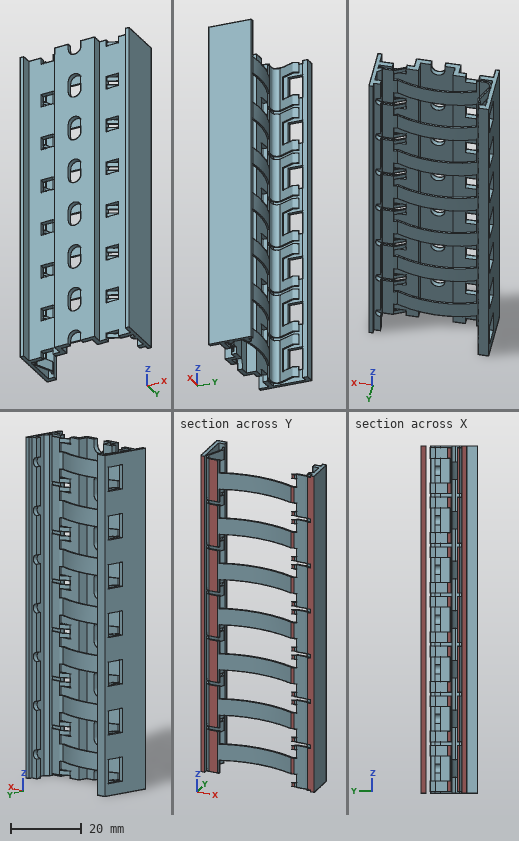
import cadquery as cq

LENGTH = 98.0
WIDTH = 35.0
HALF_WIDTH = WIDTH / 2
WALL = 1.2
PLATE = 1.5

TALL_WALL = 16.0
LOW_WALL = 13.2
LIP_REACH = 3.0
LEDGE_TOP = 12.0
WEB_BOTTOM = 3.0
WEB_TOP = WEB_BOTTOM + PLATE
CHANNEL_WIDTH = 12.8

RIB_REACH = 1.2
RIB_TOP = 7.3
RIB_SHOULDER = 6.3
RIB_BARB = 5.1
RIB_ROOT = 5.8

COUNT = 7
PITCH = LENGTH / COUNT
SLOT_LENGTH = 7.5
SLOT_WIDTH = 4.0
HOLE_WIDTH = 3.9
HOLE_LENGTH = 4.0
HOLE_OFFSET = 10.5
WINDOW_LENGTH = 7.0
WINDOW_HEIGHT = 5.4
NOTCH_DIAMETER = 2.6

STRIP = 0.5
CLIP_GAP = 1.0
CLIP_LENGTH = PITCH - CLIP_GAP
CLIP_FLOOR = WEB_TOP + STRIP / 2
INNER_WALL = WALL - HALF_WIDTH
BEND_RADIUS = 1.8
ARM_FOOT_HEIGHT = 6.9
ARM_KNEE = (-13.8, 11.9)
ARM_TIP = (-14.3, 13.1)
ARCH_START = -12.6
ARCH_PEAK = (-0.9, 7.0)
ARCH_END = 10.9
PAD_LEVEL = 5.1
PAD_CREASE = 14.7
CLIP_END = HALF_WIDTH - WALL - STRIP / 2
ARCH_WIDTH = 5.0
LEFT_PAD_END = -11.9
RIGHT_PAD_END = 12.0
ARM_NOTCH_BOTTOM = 7.8
TAB_DROP = 1.6
TAB_RUN = 3.2
TAB_WIDTH = 1.3


def box(x_min, x_max, y_min, y_max, z_centre, z_length):
    """Block spanning the given X and Y ranges, centred along Z."""
    block = cq.Workplane("XY").box(x_max - x_min, y_max - y_min, z_length)
    return block.translate(((x_min + x_max) / 2, (y_min + y_max) / 2, z_centre))


def make_rail():
    """Constant cross-section along Z."""
    outer = CHANNEL_WIDTH / 2
    inner = outer - PLATE
    left_face = -HALF_WIDTH
    right_inside = HALF_WIDTH - WALL
    points = [
        (left_face, 0), (INNER_WALL, 0),
        (INNER_WALL, WEB_BOTTOM), (-outer, WEB_BOTTOM),
        (-outer, 0), (outer, 0),
        (outer, WEB_BOTTOM), (right_inside, WEB_BOTTOM),
        (right_inside, 0), (HALF_WIDTH, 0),
        (HALF_WIDTH, LOW_WALL), (right_inside, LOW_WALL),
        (right_inside, LEDGE_TOP), (HALF_WIDTH - LIP_REACH, LEDGE_TOP),
        (HALF_WIDTH - LIP_REACH, LEDGE_TOP - PLATE), (right_inside, LEDGE_TOP - PLATE),
        (right_inside, RIB_TOP), (right_inside - RIB_REACH, RIB_SHOULDER),
        (right_inside - RIB_REACH, RIB_BARB), (right_inside, RIB_ROOT),
        (right_inside, WEB_TOP), (inner, WEB_TOP),
        (inner, PLATE), (-inner, PLATE),
        (-inner, WEB_TOP), (INNER_WALL, WEB_TOP),
        (INNER_WALL, TALL_WALL - PLATE), (left_face + LIP_REACH, TALL_WALL - PLATE),
        (left_face + LIP_REACH, TALL_WALL), (left_face, TALL_WALL),
    ]
    return cq.Workplane("XY").polyline(points).close().extrude(LENGTH)


def station_cutters(z):
    """Oblong slot and two web holes; these are halved at the rail ends."""
    slot = (
        cq.Workplane("XZ", origin=(0, PLATE, z))
        .slot2D(SLOT_LENGTH, SLOT_WIDTH, 90)
        .extrude(PLATE)
    )
    cutters = [slot]
    for x in (-HOLE_OFFSET, HOLE_OFFSET):
        cutters.append(box(x - HOLE_WIDTH / 2, x + HOLE_WIDTH / 2, WEB_BOTTOM, WEB_TOP, z, HOLE_LENGTH))
    return cutters


def bay_cutters(z):
    """Window through the tall wall and half-round notch in the lip opposite."""
    window_top = TALL_WALL - PLATE
    window = box(-HALF_WIDTH, INNER_WALL, window_top - WINDOW_HEIGHT, window_top, z, WINDOW_LENGTH)
    notch = (
        cq.Workplane("XZ", origin=(HALF_WIDTH - LIP_REACH, LEDGE_TOP, z))
        .circle(NOTCH_DIAMETER / 2)
        .extrude(PLATE)
    )
    return [window, notch]


def make_clip():
    """Spring clip centred on Z = 0: a bent strip trimmed to arms, pads and arch."""
    arm_x = INNER_WALL + STRIP / 2
    bend_middle = BEND_RADIUS * (1 - 0.5 ** 0.5)
    path = (
        cq.Workplane("XY")
        .moveTo(*ARM_TIP)
        .lineTo(*ARM_KNEE)
        .lineTo(arm_x, ARM_FOOT_HEIGHT)
        .lineTo(arm_x, CLIP_FLOOR + BEND_RADIUS)
        .threePointArc(
            (arm_x + bend_middle, CLIP_FLOOR + bend_middle),
            (arm_x + BEND_RADIUS, CLIP_FLOOR),
        )
        .lineTo(ARCH_START, CLIP_FLOOR)
        .threePointArc(ARCH_PEAK, (ARCH_END, CLIP_FLOOR))
        .lineTo(RIGHT_PAD_END, PAD_LEVEL)
        .lineTo(PAD_CREASE, PAD_LEVEL)
        .lineTo(CLIP_END, CLIP_FLOOR)
    )
    clip = path.offset2D(STRIP / 2).extrude(CLIP_LENGTH / 2, both=True)

    arm_notch = box(INNER_WALL, LEFT_PAD_END, ARM_NOTCH_BOTTOM, TALL_WALL, 0, WINDOW_LENGTH)
    clip = clip.cut(arm_notch)

    tab_end = RIGHT_PAD_END - TAB_RUN
    pad_bottom = PAD_LEVEL - STRIP / 2
    pad_top = PAD_LEVEL + STRIP / 2
    tab_points = [
        (RIGHT_PAD_END, pad_top), (tab_end, pad_top - TAB_DROP),
        (tab_end, pad_bottom - TAB_DROP), (RIGHT_PAD_END, pad_bottom),
    ]
    tab = cq.Workplane("XY").polyline(tab_points).close().extrude(TAB_WIDTH / 2, both=True)

    side_length = (CLIP_LENGTH - ARCH_WIDTH) / 2
    side_z = (CLIP_LENGTH + ARCH_WIDTH) / 4
    tab_z = PITCH / 2 - (CLIP_GAP + HOLE_LENGTH) / 4
    for sign in (-1, 1):
        beside_arch = box(LEFT_PAD_END, RIGHT_PAD_END, WEB_TOP, TALL_WALL, sign * side_z, side_length)
        clip = clip.cut(beside_arch)
        clip = clip.union(tab.translate((0, 0, sign * tab_z)))
    return clip


rail = make_rail()
for index in range(COUNT + 1):
    for cutter in station_cutters(index * PITCH):
        rail = rail.cut(cutter)

bay_centres = [(index + 0.5) * PITCH for index in range(COUNT)]
for z in bay_centres:
    for cutter in bay_cutters(z):
        rail = rail.cut(cutter)

clip = make_clip()
result = rail
for z in bay_centres:
    result = result.union(clip.translate((0, 0, z)))